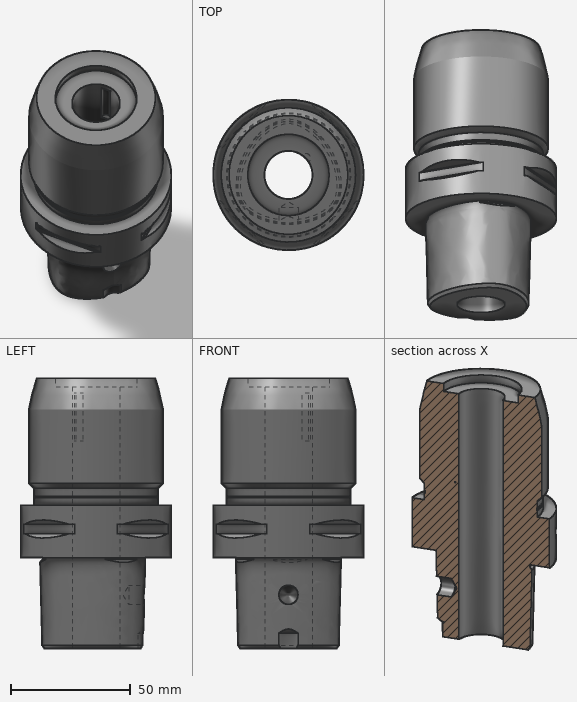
import cadquery as cq
import math


cutter_overrun = 1.0

body_top_z = 75.0
body_radius = 28.05
nose_radius = 24.8
nose_height = 13.0
nose_bulge = 0.25
body_chamfer_height = 2.1
body_bottom_z = 29.0
neck_radius = 26.0
neck_groove_z = 25.35
neck_groove_width = 0.8
neck_groove_depth = 0.4
flange_radius = 31.5
flange_height = 22.0

notch_count = 4
notch_start_angle = 45.0
notch_mid_z = 12.0
notch_floor_width = 3.8
notch_wall_depth = 0.9
notch_floor_distance = 27.7
notch_flank_angle = 33.0

shank_length = 38.0
shank_radius = 22.0
lobe_height = 1.4
lobe_count = 3
outline_points = 72
shank_neck_height = 3.0
taper_per_side = 1.0 / 40.0
end_chamfer_height = 1.5
end_chamfer_inset = 1.0

undercut_radius = 22.35
undercut_straight_height = 0.7
undercut_height = 2.1
undercut_outer_radius = 23.5

drill_point_angle = 118.0
side_hole_radius = 4.0
side_hole_z = -15.5
side_hole_depth = 7.0
end_recess_radius = 5.0
end_recess_axis_y = -22.5
end_recess_depth = 6.4
end_recess_point_angle = 106.0

bore_radius = 10.0
counterbore_radius = 17.0
counterbore_depth = 3.5
bore_groove_radius = 2.05
bore_groove_angle = 45.0
bore_groove_lip = 2.6
bore_groove_length = 20.0


def make_body():
    """Revolved flange, neck and chuck body."""
    nose_bottom_z = body_top_z - nose_height
    nose_run = body_radius - nose_radius
    nose_chord = math.hypot(nose_run, nose_height)
    nose_middle = (
        (body_radius + nose_radius) / 2 + nose_bulge * nose_height / nose_chord,
        (nose_bottom_z + body_top_z) / 2 + nose_bulge * nose_run / nose_chord,
    )
    groove_bottom_z = neck_groove_z - neck_groove_width / 2
    groove_top_z = neck_groove_z + neck_groove_width / 2
    groove_radius = neck_radius - neck_groove_depth
    return (
        cq.Workplane("XZ")
        .moveTo(0, 0)
        .lineTo(flange_radius, 0)
        .lineTo(flange_radius, flange_height)
        .lineTo(neck_radius, flange_height)
        .lineTo(neck_radius, groove_bottom_z)
        .lineTo(groove_radius, groove_bottom_z)
        .lineTo(groove_radius, groove_top_z)
        .lineTo(neck_radius, groove_top_z)
        .lineTo(neck_radius, body_bottom_z)
        .lineTo(body_radius, body_bottom_z + body_chamfer_height)
        .lineTo(body_radius, nose_bottom_z)
        .threePointArc(nose_middle, (nose_radius, body_top_z))
        .lineTo(0, body_top_z)
        .close()
        .revolve(360, (0, 0, 0), (0, 1, 0))
    )


def lobed_wire(mean_radius, z):
    """Three-lobed outline of constant width, one lobe pointing to +Y.

    The distance of its tangent from the axis is mean_radius + lobe_height * cos(lobe_count * angle).
    """
    points = []
    for index in range(outline_points):
        angle = 2 * math.pi * index / outline_points
        reach = mean_radius + lobe_height * math.cos(lobe_count * angle)
        slip = -lobe_count * lobe_height * math.sin(lobe_count * angle)
        along_y = reach * math.cos(angle) - slip * math.sin(angle)
        along_x = -(reach * math.sin(angle) + slip * math.cos(angle))
        points.append(cq.Vector(along_x, along_y, z))
    edge = cq.Edge.makeSpline(points, periodic=True)
    return cq.Wire.assembleEdges([edge])


def make_shank():
    """Straight collar, tapered polygon and chamfered end, stacked downwards."""
    taper_end_z = -shank_length + end_chamfer_height
    taper_length = shank_length - shank_neck_height - end_chamfer_height
    taper_end_radius = shank_radius - taper_length * taper_per_side
    sections = [
        (shank_radius, 0.0),
        (shank_radius, -shank_neck_height),
        (taper_end_radius, taper_end_z),
        (taper_end_radius - end_chamfer_inset, -shank_length),
    ]
    shank = cq.Workplane("XY")
    for upper, lower in zip(sections, sections[1:]):
        stage = cq.Solid.makeLoft([lobed_wire(*upper), lobed_wire(*lower)], True)
        shank = shank.union(cq.Workplane(obj=stage))
    return shank


def make_undercut():
    """Ring below the flange, straight at the top and running out in a cone."""
    return (
        cq.Workplane("XZ")
        .moveTo(undercut_radius, 0)
        .lineTo(undercut_radius, -undercut_straight_height)
        .lineTo(undercut_outer_radius, -undercut_height)
        .lineTo(flange_radius, -undercut_height)
        .lineTo(flange_radius, 0)
        .close()
        .revolve(360, (0, 0, 0), (0, 1, 0))
    )


def make_notch(angle):
    """Straight V notch with a square-walled flat floor, facing outwards at the given angle."""
    mouth_distance = flange_radius + cutter_overrun
    flank_start = notch_floor_distance + notch_wall_depth
    flank_rise = (mouth_distance - flank_start) * math.tan(math.radians(notch_flank_angle))
    floor_half = notch_floor_width / 2
    mouth_half = floor_half + flank_rise
    return (
        cq.Workplane("XZ")
        .polyline([
            (notch_floor_distance, notch_mid_z - floor_half),
            (flank_start, notch_mid_z - floor_half),
            (mouth_distance, notch_mid_z - mouth_half),
            (mouth_distance, notch_mid_z + mouth_half),
            (flank_start, notch_mid_z + floor_half),
            (notch_floor_distance, notch_mid_z + floor_half),
        ])
        .close()
        .extrude(flange_radius, both=True)
        .rotate((0, 0, 0), (0, 0, 1), angle)
    )


def make_drill(radius, depth, point_angle):
    """Drilled shape along +Z from the origin: a cylinder with a conical tip."""
    tip_height = radius / math.tan(math.radians(point_angle / 2))
    return (
        cq.Workplane("XZ")
        .polyline([(0, 0), (radius, 0), (radius, depth), (0, depth + tip_height)])
        .close()
        .revolve(360, (0, 0, 0), (0, 1, 0))
    )


def make_side_hole():
    """Blind drilled hole entering the shank from -Y."""
    flat_side_y = -(shank_radius - lobe_height)
    return (
        make_drill(side_hole_radius, side_hole_depth + cutter_overrun, drill_point_angle)
        .rotate((0, 0, 0), (1, 0, 0), -90)
        .translate((0, flat_side_y - cutter_overrun, side_hole_z))
    )


def make_end_recess():
    """Round recess drilled upwards into the -Y edge of the shank end."""
    return (
        make_drill(end_recess_radius, end_recess_depth, end_recess_point_angle)
        .translate((0, end_recess_axis_y, -shank_length))
    )


def make_bore():
    """Through bore with a counterbore and one round-bottomed groove in its wall."""
    counterbore_floor_z = body_top_z - counterbore_depth
    bore = (
        cq.Workplane("XY", origin=(0, 0, -shank_length))
        .circle(bore_radius)
        .extrude(shank_length + body_top_z)
    )
    counterbore = (
        cq.Workplane("XY", origin=(0, 0, counterbore_floor_z))
        .circle(counterbore_radius)
        .extrude(counterbore_depth)
    )
    groove_angle = math.radians(bore_groove_angle)
    groove = (
        cq.Workplane("XY", origin=(0, 0, counterbore_floor_z - bore_groove_lip))
        .center(bore_radius * math.cos(groove_angle), bore_radius * math.sin(groove_angle))
        .circle(bore_groove_radius)
        .extrude(-bore_groove_length)
    )
    return bore.union(counterbore).union(groove)


result = make_body().union(make_shank().cut(make_undercut()))
for notch_index in range(notch_count):
    result = result.cut(make_notch(notch_start_angle + notch_index * 360.0 / notch_count))
result = result.cut(make_side_hole()).cut(make_end_recess()).cut(make_bore())